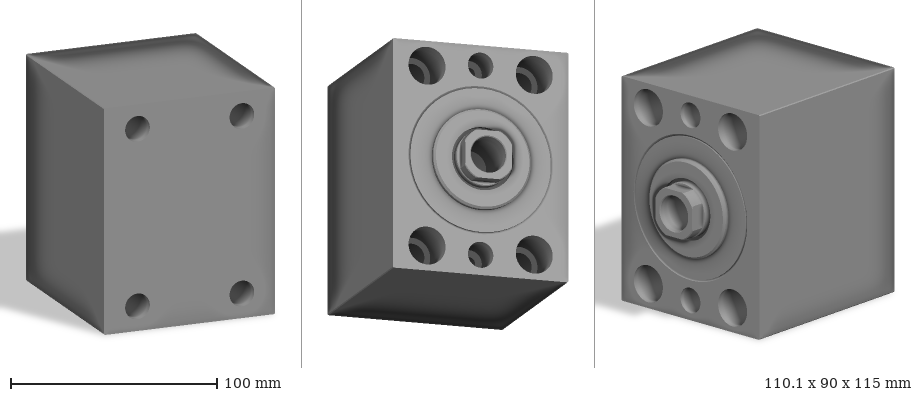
import cadquery as cq
import math


BLOCK_LENGTH = 98.0
BLOCK_WIDTH = 90.0
BLOCK_HEIGHT = 115.0
BLOCK_EDGE_CHAMFER = 0.5

BOLT_SPACING_Y = 55.0
BOLT_SPACING_Z = 90.0
BOLT_HOLE_DIAMETER = 13.0
BOLT_HEAD_DIAMETER = 19.0
BOLT_HEAD_DEPTH = 23.0

PORT_SPACING_Z = 94.8
PORT_DIAMETER = 13.0
PORT_DEPTH = 17.2
PORT_FEED_DIAMETER = 6.0
PORT_FEED_DEPTH = 28.8

GLAND_DIAMETER = 72.0
GLAND_DEPTH = 46.0
POCKET_MOUTH_CHAMFER = 1.0
BOSS_DIAMETER = 50.0
BOSS_HEIGHT = 3.1
BOSS_CHAMFER = 1.0
WIPER_RECESS_DIAMETER = 31.5
WIPER_RECESS_DEPTH = 2.0

ROD_DIAMETER = 28.1
ROD_SHOULDER_CHAMFER = 0.5
SHOULDER_HEIGHT = 5.0
ROD_REACH = 12.1
WRENCH_DIAMETER = 27.1
WRENCH_CHAMFER = 0.5
WRENCH_FLATS = 24.0
ROD_BORE_DIAMETER = 17.9
ROD_BORE_DEPTH = 29.9
ROD_BORE_CHAMFER = 0.5
DRILL_POINT_ANGLE = 118.0


def cylinder(diameter, x_start, x_end, y=0.0, z=0.0):
    """Solid cylinder parallel to X between two X positions."""
    return (
        cq.Workplane("YZ", origin=(x_start, y, z))
        .circle(diameter / 2)
        .extrude(x_end - x_start)
    )


def cone(diameter_start, diameter_end, x_start, x_end):
    """Solid cone or frustum on the X axis between two X positions."""
    outline = [
        (x_start, 0),
        (x_start, diameter_start / 2),
        (x_end, diameter_end / 2),
    ]
    if diameter_end > 0:
        outline.append((x_end, 0))
    return cq.Workplane("XY").polyline(outline).close().revolve(360, (0, 0, 0), (1, 0, 0))


def bolt_hole(y, z):
    through = cylinder(BOLT_HOLE_DIAMETER, 0, BLOCK_LENGTH, y, z)
    head = cylinder(BOLT_HEAD_DIAMETER, 0, BOLT_HEAD_DEPTH, y, z)
    return through.union(head)


def oil_port(z):
    mouth = cylinder(PORT_DIAMETER, 0, PORT_DEPTH, 0, z)
    feed = cylinder(PORT_FEED_DIAMETER, 0, PORT_FEED_DEPTH, 0, z)
    return mouth.union(feed)


def make_block():
    block = (
        cq.Workplane("XY")
        .box(BLOCK_LENGTH, BLOCK_WIDTH, BLOCK_HEIGHT)
        .edges("|X")
        .chamfer(BLOCK_EDGE_CHAMFER)
        .translate((BLOCK_LENGTH / 2, 0, 0))
    )
    mouth_diameter = GLAND_DIAMETER + 2 * POCKET_MOUTH_CHAMFER
    block = block.cut(cylinder(GLAND_DIAMETER, 0, GLAND_DEPTH))
    block = block.cut(cone(mouth_diameter, GLAND_DIAMETER, 0, POCKET_MOUTH_CHAMFER))
    for side_z in (-1, 1):
        block = block.cut(oil_port(side_z * PORT_SPACING_Z / 2))
        for side_y in (-1, 1):
            block = block.cut(bolt_hole(side_y * BOLT_SPACING_Y / 2, side_z * BOLT_SPACING_Z / 2))
    return block


def make_gland():
    boss = cylinder(BOSS_DIAMETER, -BOSS_HEIGHT, 0).faces("<X").chamfer(BOSS_CHAMFER)
    gland = cylinder(GLAND_DIAMETER, 0, GLAND_DEPTH).union(boss)
    recess = cylinder(WIPER_RECESS_DIAMETER, -BOSS_HEIGHT, WIPER_RECESS_DEPTH - BOSS_HEIGHT)
    return gland.cut(recess).cut(cylinder(ROD_DIAMETER, -BOSS_HEIGHT, GLAND_DEPTH))


def make_rod_bore():
    x_mouth = -ROD_REACH
    x_bottom = x_mouth + ROD_BORE_DEPTH
    point_length = ROD_BORE_DIAMETER / 2 / math.tan(math.radians(DRILL_POINT_ANGLE / 2))
    mouth_diameter = ROD_BORE_DIAMETER + 2 * ROD_BORE_CHAMFER
    return (
        cylinder(ROD_BORE_DIAMETER, x_mouth, x_bottom)
        .union(cone(mouth_diameter, ROD_BORE_DIAMETER, x_mouth, x_mouth + ROD_BORE_CHAMFER))
        .union(cone(ROD_BORE_DIAMETER, 0, x_bottom, x_bottom + point_length))
    )


def make_rod():
    shank = cylinder(ROD_DIAMETER, -SHOULDER_HEIGHT, GLAND_DEPTH).faces("<X").chamfer(ROD_SHOULDER_CHAMFER)
    wrench_length = ROD_REACH - SHOULDER_HEIGHT
    square = cq.Workplane("XY").box(wrench_length, WRENCH_FLATS, WRENCH_FLATS)
    wrench_end = (
        cylinder(WRENCH_DIAMETER, -ROD_REACH, -SHOULDER_HEIGHT)
        .faces("<X")
        .chamfer(WRENCH_CHAMFER)
        .intersect(square.translate((-SHOULDER_HEIGHT - wrench_length / 2, 0, 0)))
    )
    return shank.union(wrench_end).cut(make_rod_bore())


block = make_block()
gland = make_gland()
rod = make_rod()

result = cq.Compound.makeCompound([block.val(), gland.val(), rod.val()])